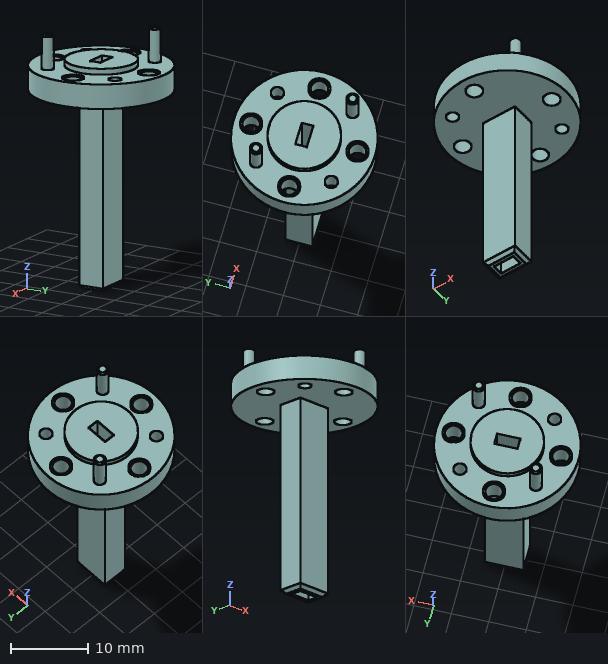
import cadquery as cq

total_height = 34.42
flange_diameter = 19.05
flange_thickness = 3.3
pin_height = 4.68
guide_length = total_height - flange_thickness - pin_height

boss_diameter = 9.55
boss_height = 0.8

bore_size_x = 3.1
bore_size_y = 1.55
wall = 1.03
guide_size_x = bore_size_x + 2 * wall
guide_size_y = bore_size_y + 2 * wall
guide_tip_chamfer = 0.5

bolt_circle_radius = 7.15
screw_hole_diameter = 2.27
counterbore_diameter = 2.85
counterbore_depth = 0.17
dowel_hole_diameter = 1.7
pin_diameter = 1.6
pin_tip_chamfer = 0.25


def flange():
    """Round flange with a raised contact face on top."""
    disc = cq.Workplane("XY").circle(flange_diameter / 2).extrude(flange_thickness)
    return disc.faces(">Z").workplane().circle(boss_diameter / 2).extrude(boss_height)


def guide():
    """Rectangular bar hanging from the flange, with a chamfered free end."""
    bar = cq.Workplane("XY").rect(guide_size_x, guide_size_y).extrude(-guide_length)
    return bar.faces("<Z").chamfer(guide_tip_chamfer)


def guide_bore():
    """Rectangular passage through the bar, the flange and the contact face."""
    return (
        cq.Workplane("XY", origin=(0, 0, -guide_length))
        .rect(bore_size_x, bore_size_y)
        .extrude(guide_length + flange_thickness + boss_height)
    )


def on_bolt_circle(body, first_angle, count):
    """Copies of a body centred on Z, spaced evenly around the bolt circle."""
    return (
        cq.Workplane("XY")
        .polarArray(bolt_circle_radius, first_angle, 360, count)
        .eachpoint(lambda place: body.val().moved(place), combine=False)
        .combine()
    )


def screw_hole():
    """Through hole with a shallow counterbore at the top."""
    hole = cq.Workplane("XY").circle(screw_hole_diameter / 2).extrude(flange_thickness)
    counterbore = (
        cq.Workplane("XY", origin=(0, 0, flange_thickness))
        .circle(counterbore_diameter / 2)
        .extrude(-counterbore_depth)
    )
    return hole.union(counterbore)


def dowel_hole():
    return cq.Workplane("XY").circle(dowel_hole_diameter / 2).extrude(flange_thickness)


def pin():
    """Dowel pin set through the flange, with a chamfered tip."""
    shaft = cq.Workplane("XY").circle(pin_diameter / 2).extrude(flange_thickness + pin_height)
    return shaft.faces(">Z").chamfer(pin_tip_chamfer)


result = (
    flange()
    .union(guide())
    .cut(guide_bore())
    .cut(on_bolt_circle(screw_hole(), first_angle=0, count=4))
    .cut(on_bolt_circle(dowel_hole(), first_angle=45, count=2))
    .union(on_bolt_circle(pin(), first_angle=135, count=2))
)